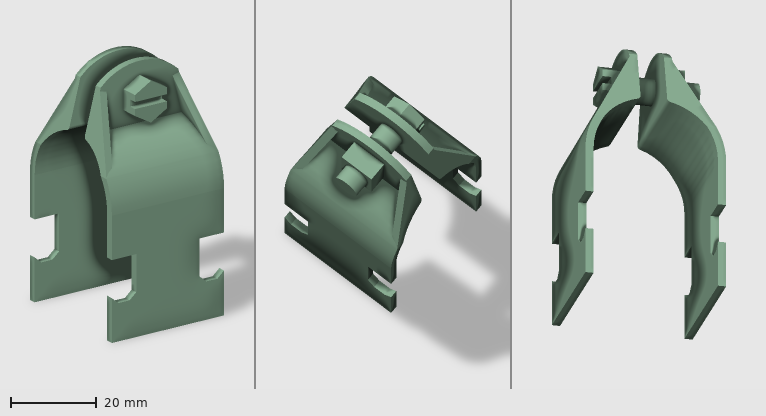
import cadquery as cq
import math

strap_length = 31.75
strap_height = 63.5
strap_span = 33.9
sheet = 2.0
jaw_gap = 6.4
arch_center_z = 31.9
bend_radius = 1.0
crown_radius = 15.9
crown_half_width = 11.0
taper_foot_z = 40.3

arch_outer_radius = strap_span / 2
arch_inner_radius = arch_outer_radius - sheet
flange_inner_x = jaw_gap / 2
flange_outer_x = flange_inner_x + sheet
half_length = strap_length / 2
crown_center_z = strap_height - crown_radius
crown_foot_z = crown_center_z + math.sqrt(crown_radius**2 - crown_half_width**2)
taper_angle = math.atan2(half_length - crown_half_width, crown_foot_z - taper_foot_z)

notch_depth = 6.9
notch_top_z = 20.75
notch_shoulder_z = 11.25
notch_bottom_z = 9.6
notch_corner = 1.9

gusset_top_z = 58.2

bolt_axis_z = 54.75
bolt_diameter = 6.4
bolt_end_x = -14.0
head_across_flats = 9.1
head_height = 4.75
slot_width = 1.8
slot_depth = 2.1
nut_side = 8.9
nut_height = 4.75


def arch_height(radius, x):
    """Height of a point of an arch surface at distance x from the middle plane."""
    return arch_center_z + math.sqrt(radius**2 - x**2)


def arch_shoulder(radius):
    """Point (x, z) on an arch surface 45 degrees up from the leg."""
    reach = radius * math.sqrt(0.5)
    return (reach, arch_center_z + reach)


def bent_sheet():
    """Leg, arch and flange of the +X half, full length along Y."""
    outline = (
        cq.Workplane("XZ")
        .moveTo(arch_inner_radius, 0)
        .lineTo(arch_outer_radius, 0)
        .lineTo(arch_outer_radius, arch_center_z)
        .threePointArc(
            arch_shoulder(arch_outer_radius),
            (flange_outer_x, arch_height(arch_outer_radius, flange_outer_x)),
        )
        .lineTo(flange_outer_x, strap_height)
        .lineTo(flange_inner_x, strap_height)
        .lineTo(flange_inner_x, arch_height(arch_inner_radius, flange_inner_x))
        .threePointArc(arch_shoulder(arch_inner_radius), (arch_inner_radius, arch_center_z))
        .close()
    )
    sheet_body = outline.extrude(half_length, both=True)
    bend_point = (flange_inner_x, 0, arch_height(arch_inner_radius, flange_inner_x))
    return sheet_body.edges(cq.NearestToPointSelector(bend_point)).fillet(bend_radius)


def end_outline():
    """Outline of a strap along Y, with crown, tapers and notches, as a prism along X."""
    notch_inner_y = half_length - notch_depth
    half_outline = [
        (half_length, 0),
        (half_length, notch_shoulder_z),
        (half_length - notch_corner, notch_bottom_z),
        (notch_inner_y + notch_corner, notch_bottom_z),
        (notch_inner_y, notch_shoulder_z),
        (notch_inner_y, notch_top_z),
        (half_length, notch_top_z),
        (half_length, taper_foot_z),
        (crown_half_width, crown_foot_z),
    ]
    other_half = [(-y, z) for y, z in reversed(half_outline)]
    return (
        cq.Workplane("YZ")
        .polyline(half_outline)
        .threePointArc((0, strap_height), other_half[0])
        .polyline(other_half[1:], includeCurrent=True)
        .close()
        .extrude(strap_span)
    )


def gusset():
    """Triangular web lying in the -Y tapered end, one sheet thick."""
    foot_x = math.sqrt(arch_outer_radius**2 - (taper_foot_z - arch_center_z) ** 2)
    root_z = arch_height(arch_outer_radius, flange_outer_x)
    taper_plane = cq.Plane(
        origin=(0, -half_length, taper_foot_z),
        xDir=(1, 0, 0),
        normal=(0, -math.cos(taper_angle), math.sin(taper_angle)),
    )
    corners = [
        (x, (z - taper_foot_z) / math.cos(taper_angle))
        for x, z in [
            (foot_x, taper_foot_z),
            (flange_outer_x, gusset_top_z),
            (flange_outer_x, root_z),
        ]
    ]
    return cq.Workplane(taper_plane).polyline(corners).close().extrude(-sheet)


def bolt_plane(x):
    """Plane square to the bolt axis at position x, facing +X."""
    return cq.Workplane("YZ", origin=(x, 0, bolt_axis_z))


def shank():
    """Cylinder of the bolt, from its free end to the head."""
    return bolt_plane(bolt_end_x).circle(bolt_diameter / 2).extrude(flange_outer_x - bolt_end_x)


def make_strap():
    """The +X strap with both gussets and its bolt hole."""
    web = gusset()
    return bent_sheet().intersect(end_outline()).union(web).union(web.mirror("XZ")).cut(shank())


def make_bolt():
    """Hexagon-headed bolt, a corner of the head pointing up, with a slot across the head."""
    across_corners = head_across_flats / math.cos(math.pi / 6)
    head = (
        bolt_plane(flange_outer_x)
        .transformed(rotate=(0, 0, 90))
        .polygon(6, across_corners)
        .extrude(head_height)
    )
    slot = (
        bolt_plane(flange_outer_x + head_height)
        .rect(across_corners, slot_width)
        .extrude(-slot_depth)
    )
    return shank().union(head.cut(slot))


def make_nut():
    """Square nut against the outer face of the -X flange."""
    return bolt_plane(-flange_outer_x).rect(nut_side, nut_side).extrude(-nut_height).cut(shank())


right_strap = make_strap()
straps = [right_strap, right_strap.mirror("YZ")]
bolt = make_bolt()
nut = make_nut()

result = cq.Compound.makeCompound([*[strap.val() for strap in straps], bolt.val(), nut.val()])